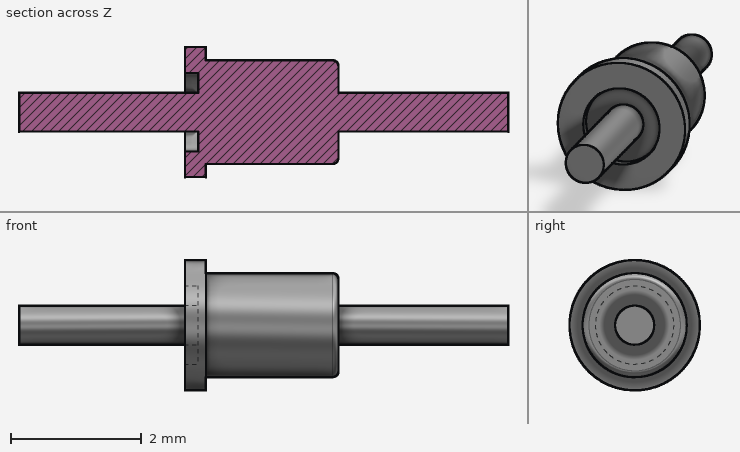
import cadquery as cq

pin_length = 7.5
pin_diameter = 0.6
flange_diameter = 2.0
flange_thickness = 0.32
flange_start = 2.54
body_diameter = 1.6
sleeve_length = 2.355
body_end_fillet = 0.1
recess_diameter = 1.2
recess_depth = 0.2

flange_face_x = flange_start - pin_length / 2


def cylinder(start_x, length, diameter):
    """Solid cylinder along +X, centred on the X axis."""
    return cq.Workplane("YZ", origin=(start_x, 0, 0)).circle(diameter / 2).extrude(length)


body = cylinder(flange_face_x, sleeve_length, body_diameter)
body = body.faces(">X").edges().fillet(body_end_fillet)

flange = cylinder(flange_face_x, flange_thickness, flange_diameter)
recess = cylinder(flange_face_x, recess_depth, recess_diameter)
sleeve = body.union(flange).cut(recess)

pin = cylinder(-pin_length / 2, pin_length, pin_diameter)

result = sleeve.union(pin)